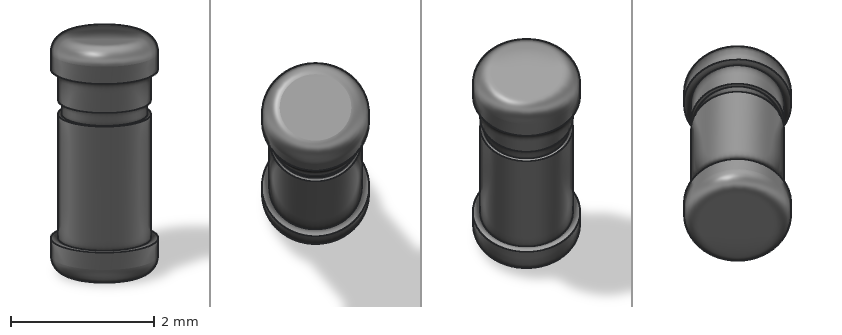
import cadquery as cq

total_length = 3.45

cap_diameter = 1.5
cap_length = 0.5
cap_edge_radius = 0.25

body_diameter = 1.3
groove_diameter = 1.2
groove_width = 0.2
groove_to_cap = 0.45

upper_cap_base = total_length - cap_length
groove_base = upper_cap_base - groove_to_cap - groove_width


def cylinder(diameter, base, length):
    """Cylinder on the Z axis, starting at height base."""
    return cq.Workplane("XY").workplane(offset=base).circle(diameter / 2).extrude(length)


def make_body():
    """Rod between the two caps, necked down at the groove."""
    body = cylinder(body_diameter, cap_length, upper_cap_base - cap_length)
    ring = cylinder(body_diameter, groove_base, groove_width).cut(
        cylinder(groove_diameter, groove_base, groove_width)
    )
    return body.cut(ring)


def make_cap(base, outer_face):
    """End cap whose outer rim, on the face picked by outer_face, is rounded."""
    return cylinder(cap_diameter, base, cap_length).faces(outer_face).edges().fillet(cap_edge_radius)


lower_cap = make_cap(0, "<Z")
upper_cap = make_cap(upper_cap_base, ">Z")

result = make_body().union(lower_cap).union(upper_cap)